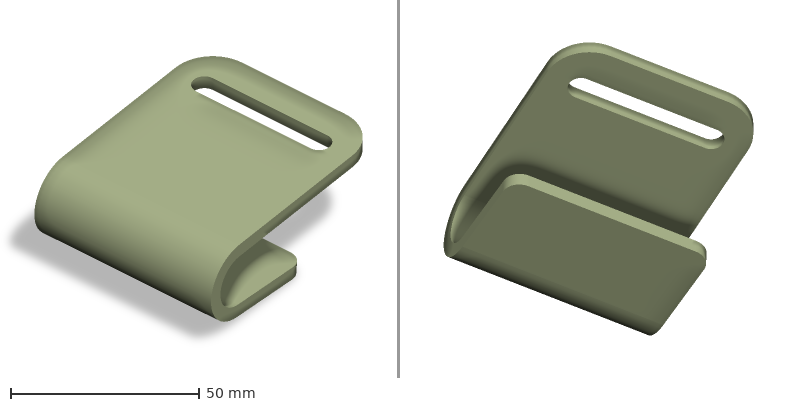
import cadquery as cq
import math

width = 60.0
length = 73.0
thickness = 4.0
bend_outer_radius = 12.05
bend_inner_radius = bend_outer_radius - thickness

lip_angle = 5.0
lip_length = 28.75
lip_corner_radius = 4.95

plate_corner_radius = 12.55
slot_length = 46.0
slot_width = 7.1
slot_edge_distance = 13.6

plate_end = length - bend_outer_radius
lip_slope = math.radians(lip_angle)


def bend_point(radius, angle):
    """Point (Y, Z) on the bend at an angle in radians from +Y."""
    return (radius * math.cos(angle), radius * math.sin(angle))


def lip_tip(start):
    """Point (Y, Z) one lip length along the lip from start."""
    return (
        start[0] + lip_length * math.cos(lip_slope),
        start[1] - lip_length * math.sin(lip_slope),
    )


def make_hook():
    """Bent strip extruded across the full width."""
    bend_end_angle = 1.5 * math.pi - lip_slope
    outer_end = bend_point(bend_outer_radius, bend_end_angle)
    inner_end = bend_point(bend_inner_radius, bend_end_angle)
    return (
        cq.Workplane("YZ")
        .moveTo(plate_end, bend_outer_radius)
        .lineTo(0, bend_outer_radius)
        .threePointArc((-bend_outer_radius, 0), outer_end)
        .lineTo(*lip_tip(outer_end))
        .lineTo(*lip_tip(inner_end))
        .lineTo(*inner_end)
        .threePointArc((-bend_inner_radius, 0), (0, bend_inner_radius))
        .lineTo(plate_end, bend_inner_radius)
        .close()
        .extrude(width / 2, both=True)
    )


def round_free_ends(hook):
    """Round the corners of the plate end and of the lip tip."""
    hook = hook.faces(">Y").edges("|Z").fillet(plate_corner_radius)
    lip_normal = cq.Vector(0, math.sin(lip_slope), math.cos(lip_slope))
    tip_corners = hook.edges(cq.selectors.ParallelDirSelector(lip_normal))
    return tip_corners.fillet(lip_corner_radius)


def cut_strap_slot(hook):
    """Cut the round-ended strap slot through the upper plate."""
    slot = (
        cq.Workplane("XY", origin=(0, plate_end - slot_edge_distance, bend_inner_radius))
        .slot2D(slot_length, slot_width)
        .extrude(thickness)
    )
    return hook.cut(slot)


result = cut_strap_slot(round_free_ends(make_hook()))